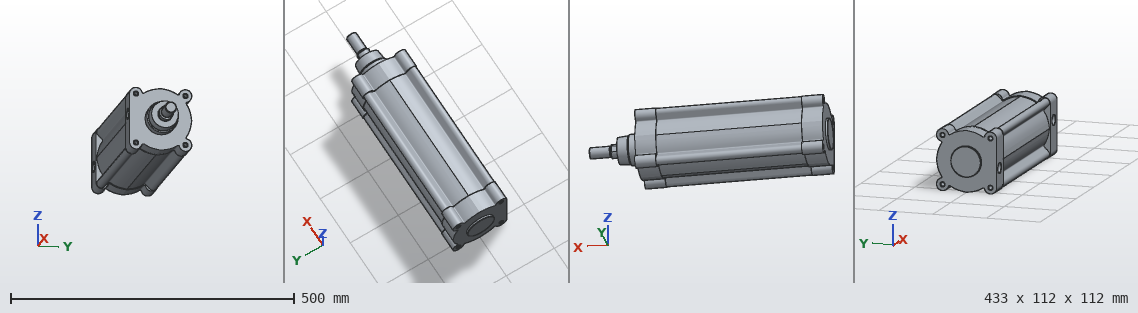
import cadquery as cq
import math


overall_length = 433.0
pilot_depth = 4.5
cap_length = 37.5
barrel_length = 262.5
barrel_start = pilot_depth + cap_length
front_cap_start = barrel_start + barrel_length
front_face = front_cap_start + cap_length

cap_size = 112.0
cap_half_size = cap_size / 2
cap_ridge_half_width = 8.5
bolt_offset = 44.5
cap_lobe_radius = cap_half_size - bolt_offset
port_block_depth = 17.5
notch_fillet = 2.0
match_tolerance = 0.05

bolt_hole_radius = 4.8
bolt_hole_depth = 17.5
bolt_core_radius = 3.5
bolt_chamfer = bolt_hole_radius - bolt_core_radius
port_radius = 9.0
port_chamfer = 1.0
port_depth = 13.0
port_inset = 17.8
port_height = 11.5

barrel_apex = 54.5
barrel_ridge_half_width = 9.5
lug_radius = 8.0
lug_offset = barrel_apex - lug_radius

pilot_radius = 28.0
rear_pilot_chamfer = 1.0
front_pilot_length = 17.5
nose_neck_radius = 25.5
nose_neck_length = 2.0
nose_length = 19.0
nose_start_radius = 26.0
nose_end_radius = 24.2
nose_bulge = 0.2
pilot_end = front_face + front_pilot_length
nose_start = pilot_end + nose_neck_length
nose_end = nose_start + nose_length

rod_radius = 12.5
shoulder_radius = 13.0
shoulder_end = 382.8
rod_end = 393.5
flat_length = 9.5
flat_half_width = 11.3
relief_radius = 9.0
relief_length = 1.7
thread_diameter = 20.5
thread_radius = thread_diameter / 2
thread_chamfer = 1.5

corners = [(y_side, z_side) for y_side in (-1, 1) for z_side in (-1, 1)]


def cross_section(x):
    """Sketch plane across the axis at x, with local axes along Y and Z."""
    return cq.Workplane("YZ", origin=(x, 0, 0))


def ridged_round(x, length, apex, ridge_half_width):
    """Round bar whose four sides rise along tangents to a shallow ridge; also returns its radius."""
    ridge_angle = math.asin(2 * ridge_half_width / apex) / 2
    radius = apex * math.cos(ridge_angle)

    def point(distance, angle):
        return distance * math.cos(angle), distance * math.sin(angle)

    quarter_turn = math.pi / 2
    outline = cross_section(x).moveTo(*point(radius, -ridge_angle))
    for quarter in range(4):
        side = quarter * quarter_turn
        middle = side + quarter_turn / 2
        next_side = side + quarter_turn
        outline = outline.lineTo(*point(apex, side)).lineTo(*point(radius, side + ridge_angle))
        outline = outline.threePointArc(
            point(radius, middle), point(radius, next_side - ridge_angle)
        )
    return outline.close().extrude(length), radius


def fillet_notches(body, radius):
    """Round the inner corners where the corner lobes meet the round bar."""

    def is_notch(edge):
        y, z = edge.Center().y, edge.Center().z
        on_bar = abs(math.hypot(y, z) - radius) < match_tolerance
        return on_bar and min(abs(y), abs(z)) > radius / 2

    notches = body.edges("|X").filter(is_notch)
    return body.newObject(notches.vals()).fillet(notch_fillet)


def make_cap(x, outer_x, inward, port_z):
    """End cap from x, with bolt holes in its outer face and a port in its flat -Y side."""
    cap, round_radius = ridged_round(x, cap_length, cap_half_size, cap_ridge_half_width)
    port_block = (
        cross_section(x)
        .center(port_block_depth / 2 - cap_half_size, 0)
        .rect(port_block_depth, 2 * bolt_offset)
        .extrude(cap_length)
    )
    bolt_points = [(y_side * bolt_offset, z_side * bolt_offset) for y_side, z_side in corners]
    lobes = cross_section(x).pushPoints(bolt_points).circle(cap_lobe_radius).extrude(cap_length)
    cap = fillet_notches(cap.union(port_block).union(lobes), round_radius)

    bolt_axis = cq.Vector(inward, 0, 0)
    for y, z in bolt_points:
        mouth = cq.Vector(outer_x, y, z)
        bore = cq.Solid.makeCylinder(bolt_core_radius, bolt_hole_depth, mouth, bolt_axis)
        countersink = cq.Solid.makeCone(
            bolt_hole_radius, bolt_core_radius, bolt_chamfer, mouth, bolt_axis
        )
        cap = cap.cut(bore).cut(countersink)

    port_mouth = cq.Vector(outer_x + inward * port_inset, -cap_half_size, port_z)
    port_axis = cq.Vector(0, 1, 0)
    port = cq.Solid.makeCylinder(port_radius, port_depth, port_mouth, port_axis)
    port_countersink = cq.Solid.makeCone(
        port_radius + port_chamfer, port_radius, port_chamfer, port_mouth, port_axis
    )
    return cap.cut(port).cut(port_countersink)


def make_rear_cap():
    cap = make_cap(pilot_depth, pilot_depth, 1, -port_height)
    pilot = cross_section(0).circle(pilot_radius).extrude(pilot_depth)
    pilot = pilot.faces("<X").chamfer(rear_pilot_chamfer)
    return cap.union(pilot)


def make_front_cap():
    cap = make_cap(front_cap_start, front_face, -1, port_height)
    nose_middle = (nose_start + nose_end) / 2
    nose_middle_radius = (nose_start_radius + nose_end_radius) / 2 + nose_bulge
    nose = (
        cq.Workplane("XZ")
        .moveTo(front_face, 0)
        .lineTo(front_face, pilot_radius)
        .lineTo(pilot_end, pilot_radius)
        .lineTo(pilot_end, nose_neck_radius)
        .lineTo(nose_start, nose_neck_radius)
        .lineTo(nose_start, nose_start_radius)
        .threePointArc((nose_middle, nose_middle_radius), (nose_end, nose_end_radius))
        .lineTo(nose_end, 0)
        .close()
        .revolve(360, (0, 0, 0), (1, 0, 0))
    )
    rod_bore = cross_section(front_cap_start).circle(rod_radius).extrude(nose_end - front_cap_start)
    return cap.union(nose).cut(rod_bore)


def make_barrel():
    barrel, round_radius = ridged_round(
        barrel_start, barrel_length, barrel_apex, barrel_ridge_half_width
    )
    lug_distance = lug_offset * math.sqrt(2)
    lug = (
        cross_section(barrel_start)
        .moveTo(0, lug_radius)
        .lineTo(lug_distance, lug_radius)
        .threePointArc((lug_distance + lug_radius, 0), (lug_distance, -lug_radius))
        .lineTo(0, -lug_radius)
        .close()
        .extrude(barrel_length)
    )
    for turn in (45, 135, 225, 315):
        barrel = barrel.union(lug.rotate((0, 0, 0), (1, 0, 0), turn))
    return fillet_notches(barrel, round_radius)


def make_rod():
    """Rod through the front cap, with two spanner flats, a thread relief and a threaded end."""
    thread_start = rod_end + relief_length
    rod = cross_section(front_cap_start).circle(rod_radius).extrude(rod_end - front_cap_start)
    shoulder = cross_section(nose_end).circle(shoulder_radius).extrude(shoulder_end - nose_end)
    relief = cross_section(rod_end).circle(relief_radius).extrude(relief_length)
    thread = (
        cross_section(thread_start)
        .circle(thread_radius)
        .extrude(overall_length - thread_start)
        .faces("<X or >X")
        .chamfer(thread_chamfer)
    )
    for side in (-1, 1):
        flat = cq.Workplane("XY").box(flat_length, rod_radius, 2 * rod_radius).translate(
            (shoulder_end + flat_length / 2, side * (flat_half_width + rod_radius / 2), 0)
        )
        rod = rod.cut(flat)
    return rod.union(shoulder).union(relief).union(thread)


rear_cap = make_rear_cap()
barrel = make_barrel()
front_cap = make_front_cap()
rod = make_rod()

result = cq.Compound.makeCompound([rear_cap.val(), barrel.val(), front_cap.val(), rod.val()])